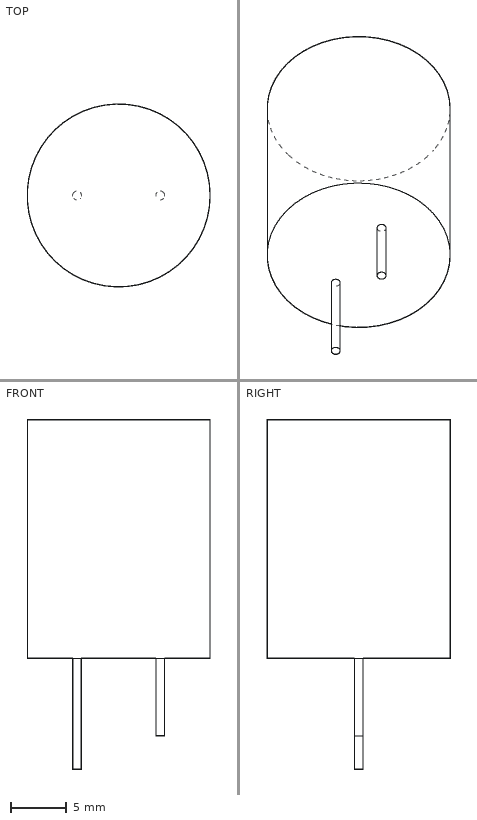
import cadquery as cq

can_diameter = 16.5
can_height = 21.5

lead_diameter = 0.8
lead_pitch = 7.5
long_lead_length = 10.0
short_lead_length = 7.0


def make_can():
    """Plain cylindrical can with its axis on Z."""
    return cq.Workplane("XY").circle(can_diameter / 2).extrude(can_height)


def make_lead(x, length):
    """Round lead that starts at the underside of the can and points down."""
    return cq.Workplane("XY").center(x, 0).circle(lead_diameter / 2).extrude(-length)


can = make_can()

lead_layout = [
    (-lead_pitch / 2, long_lead_length),
    (lead_pitch / 2, short_lead_length),
]
leads = [make_lead(x, length) for x, length in lead_layout]

result = cq.Compound.makeCompound([can.val(), *[lead.val() for lead in leads]])